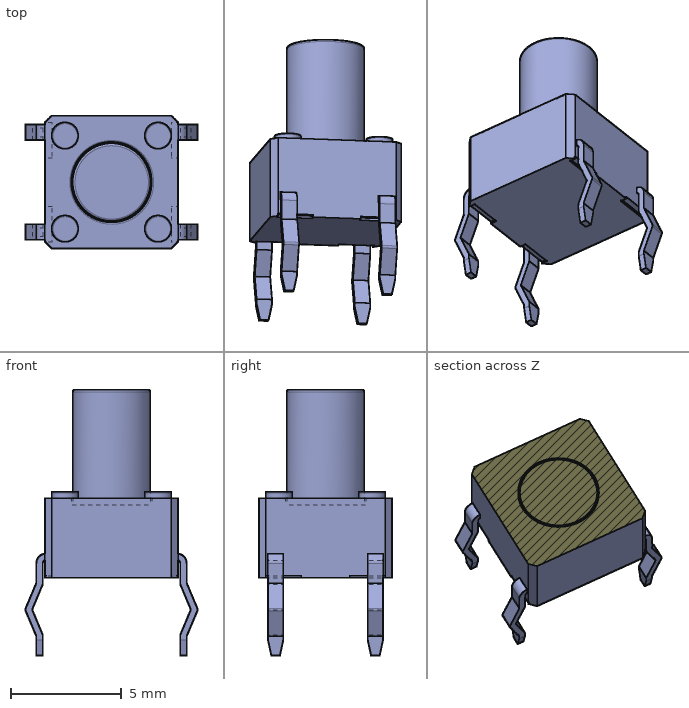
import cadquery as cq
import math


total_height = 12.0

body_width = 6.0
body_height = 3.6
corner_chamfer = 0.3
cover_thickness = 0.3

cover_hole_diameter = 3.64
cover_hole_rim = 0.07

plunger_diameter = 3.5
plunger_fillet = 0.1

rivet_diameter = 1.2
rivet_height = 0.3
rivet_offset = 2.1
rivet_fillet = 0.05

leg_drop = 3.5
leg_thickness = 0.3
leg_width = 0.71
leg_tip_width = 0.4
leg_taper_height = 0.72
leg_spacing = 4.5
leg_outer_x = 3.4
leg_top_z = 1.1
leg_bend_radius = 0.45
leg_root_depth = 0.3
kink_outer_x = 3.89
kink_z = -1.43
kink_half_height = 1.2
kink_round_height = 0.12
kink_round_bulge = 0.01

notch_height = 0.11
notch_depth = 0.3
notch_inner_y = 1.09

plunger_top_z = total_height - leg_drop
cover_bottom_z = body_height - cover_thickness
half_width = body_width / 2


def chamfered_block(height):
    block = cq.Workplane("XY").rect(body_width, body_width).extrude(height)
    return block.edges("|Z").chamfer(corner_chamfer)


def make_body():
    body = chamfered_block(cover_bottom_z)
    notch_outer_y = half_width - corner_chamfer
    notch_length = notch_outer_y - notch_inner_y
    notch_centers = [
        (side_x * (half_width - notch_depth / 2), side_y * (notch_inner_y + notch_length / 2))
        for side_x in (-1, 1)
        for side_y in (-1, 1)
    ]
    notches = (
        cq.Workplane("XY").pushPoints(notch_centers).rect(notch_depth, notch_length).extrude(notch_height)
    )
    return body.cut(notches)


def make_cover():
    cover = chamfered_block(cover_thickness).faces(">Z").workplane().hole(cover_hole_diameter)
    cover = cover.faces(">Z").edges("%CIRCLE").fillet(cover_hole_rim)
    return cover.translate((0, 0, cover_bottom_z))


def make_plunger():
    plunger = cq.Workplane("XY").workplane(offset=cover_bottom_z).circle(plunger_diameter / 2)
    plunger = plunger.extrude(plunger_top_z - cover_bottom_z)
    return plunger.faces(">Z").edges().fillet(plunger_fillet)


def make_rivets():
    rivets = cq.Workplane("XY").workplane(offset=body_height)
    rivets = rivets.rect(2 * rivet_offset, 2 * rivet_offset, forConstruction=True).vertices()
    rivets = rivets.circle(rivet_diameter / 2).extrude(rivet_height)
    return rivets.faces(">Z").edges().fillet(rivet_fillet)


def make_leg():
    """Leg on the +X side, centred on Y = 0."""
    inner_x = leg_outer_x - leg_thickness
    root_x = half_width - leg_root_depth
    bend_x = leg_outer_x - leg_bend_radius
    bend_z = leg_top_z - leg_bend_radius
    inner_radius = leg_bend_radius - leg_thickness
    diagonal = math.sqrt(0.5)

    round_x = kink_outer_x - kink_round_bulge
    slope_run = round_x - leg_outer_x
    slope_rise = kink_half_height - kink_round_height / 2
    slope_angle = math.atan2(slope_run, slope_rise)
    inner_half_height = kink_half_height - leg_thickness * math.tan(slope_angle / 2)
    inner_kink_x = inner_x + inner_half_height * math.tan(slope_angle)

    strip = (
        cq.Workplane("XZ")
        .moveTo(root_x, leg_top_z)
        .lineTo(bend_x, leg_top_z)
        .threePointArc(
            (bend_x + leg_bend_radius * diagonal, bend_z + leg_bend_radius * diagonal),
            (leg_outer_x, bend_z),
        )
        .lineTo(leg_outer_x, kink_z + kink_half_height)
        .lineTo(round_x, kink_z + kink_round_height / 2)
        .threePointArc((kink_outer_x, kink_z), (round_x, kink_z - kink_round_height / 2))
        .lineTo(leg_outer_x, kink_z - kink_half_height)
        .lineTo(leg_outer_x, -leg_drop)
        .lineTo(inner_x, -leg_drop)
        .lineTo(inner_x, kink_z - inner_half_height)
        .lineTo(inner_kink_x, kink_z)
        .lineTo(inner_x, kink_z + inner_half_height)
        .lineTo(inner_x, bend_z)
        .threePointArc(
            (bend_x + inner_radius * diagonal, bend_z + inner_radius * diagonal),
            (bend_x, bend_z + inner_radius),
        )
        .lineTo(root_x, bend_z + inner_radius)
        .close()
        .extrude(leg_width / 2, both=True)
    )

    taper_z = leg_taper_height - leg_drop
    face_outline = (
        cq.Workplane("YZ")
        .polyline([
            (-leg_width / 2, leg_top_z),
            (-leg_width / 2, taper_z),
            (-leg_tip_width / 2, -leg_drop),
            (leg_tip_width / 2, -leg_drop),
            (leg_width / 2, taper_z),
            (leg_width / 2, leg_top_z),
        ])
        .close()
        .extrude(kink_outer_x)
    )
    return strip.intersect(face_outline)


result = make_body().union(make_cover()).union(make_plunger()).union(make_rivets())

right_leg = make_leg()
left_leg = right_leg.mirror("YZ")
for leg_y in (-leg_spacing / 2, leg_spacing / 2):
    result = result.union(right_leg.translate((0, leg_y, 0)))
    result = result.union(left_leg.translate((0, leg_y, 0)))